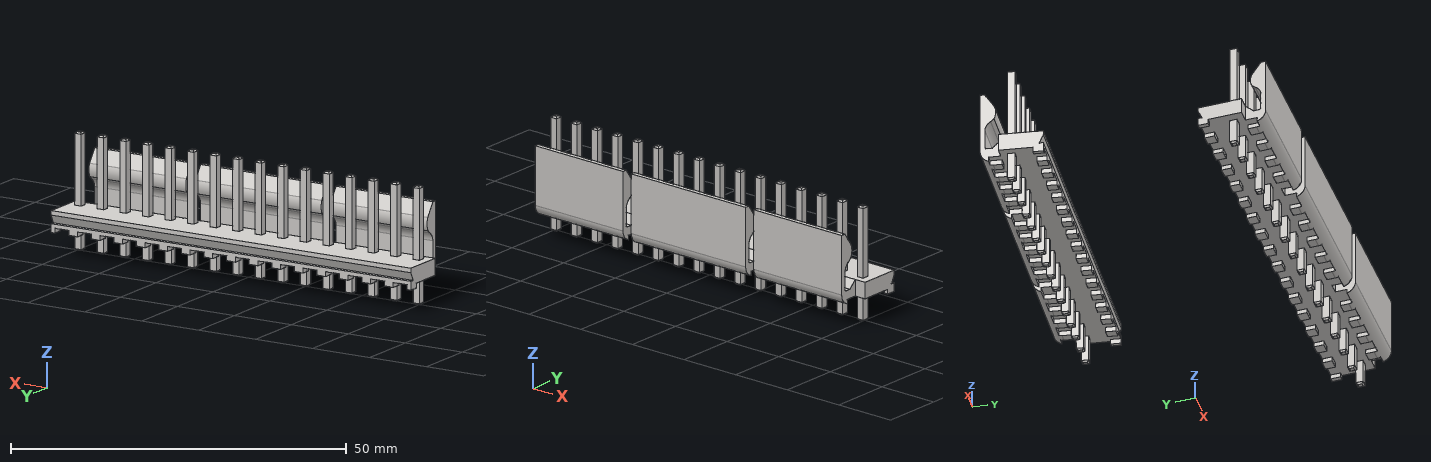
import cadquery as cq
import math


length = 63.2
base_depth = 6.8
base_bottom = 0.75
base_top = 3.4
rear_foot_depth = 1.6

undercut_depth = 0.65
undercut_bottom = 1.4
undercut_top = 2.7

pin_count = 16
end_margin = 1.9
pin_pitch = (length - 2 * end_margin) / (pin_count - 1)
pin_width = 1.15
pin_length = 18.25
pin_bottom = -3.55
pin_back_distance = 5.1
pin_tip = 0.25

notch_width = 2.4
notch_front = 8.65

wall_groups = ((0, 4), (5, 10), (11, 15))
wall_front = 10.0
wall_thickness = 0.75
wall_top = 11.3
bend_radius = 1.85
trough_bottom = 2.2
trough_back = 8.1
trough_radius = 0.3

bead_ramp_end = (7.8, 9.2)
bead_peak = (7.6, 8.15)
bead_lower_end = (7.85, 7.15)
bead_waist = (8.35, 6.7)
bead_hollow = (9.0, 6.05)
bead_bottom = 5.3


def pin_x(index):
    return end_margin + index * pin_pitch


def side_sketch(start_x):
    """YZ workplane at start_x, with its first axis toward the front (-Y) and its normal toward -X."""
    return cq.Workplane(cq.Plane(origin=(start_x, 0, 0), xDir=(0, -1, 0), normal=(-1, 0, 0)))


def make_base():
    profile = (
        side_sketch(0)
        .moveTo(0, base_top)
        .lineTo(base_depth, base_top)
        .lineTo(base_depth, base_bottom)
        .lineTo(rear_foot_depth, base_bottom)
        .lineTo(rear_foot_depth, 0)
        .lineTo(0, 0)
        .lineTo(0, undercut_bottom)
        .lineTo(undercut_depth, undercut_bottom)
        .lineTo(0, undercut_top)
        .close()
    )
    return profile.extrude(-length)


def wall_span(first, last):
    """Outer walls start and stop on the end pins; inner ends stop level with the notch of their pin."""
    start_x = pin_x(first)
    end_x = pin_x(last)
    if first > 0:
        start_x -= notch_width / 2
    if last < pin_count - 1:
        end_x += notch_width / 2
    return start_x, end_x


def make_lock_wall(start_x, end_x):
    """Hooked wall that leaves the front of the base, bends upward and ends in a latch bead."""
    wall_inside = wall_front - wall_thickness
    bend_center = wall_front - bend_radius
    diagonal = bend_radius * math.sqrt(0.5)
    profile = (
        side_sketch(start_x)
        .moveTo(base_depth, 0)
        .lineTo(bend_center, 0)
        .threePointArc((bend_center + diagonal, bend_radius - diagonal), (wall_front, bend_radius))
        .lineTo(wall_front, wall_top)
        .lineTo(wall_inside, wall_top)
        .lineTo(*bead_ramp_end)
        .threePointArc(bead_peak, bead_lower_end)
        .lineTo(*bead_waist)
        .threePointArc(bead_hollow, (wall_inside, bead_bottom))
        .lineTo(wall_inside, trough_bottom + trough_radius)
        .radiusArc((wall_inside - trough_radius, trough_bottom), trough_radius)
        .lineTo(trough_back, trough_bottom)
        .lineTo(base_depth, base_top)
        .close()
    )
    return profile.extrude(start_x - end_x)


def make_pin(index):
    """Square pin with a chamfered tip at both ends."""
    shank = cq.Workplane("XY").box(pin_width, pin_width, pin_length, centered=(True, True, False))
    pin = shank.faces("<Z or >Z").chamfer(pin_tip)
    return pin.translate((pin_x(index), -pin_back_distance, pin_bottom))


def make_foot_notch(index):
    """Space under one pin that interrupts the feet, from the back face to the lock wall bend."""
    notch = cq.Workplane("XY").box(notch_width, notch_front, base_bottom, centered=(True, False, False))
    return notch.translate((pin_x(index), -notch_front, 0))


result = make_base()
for first, last in wall_groups:
    start_x, end_x = wall_span(first, last)
    result = result.union(make_lock_wall(start_x, end_x))
for index in range(pin_count):
    result = result.cut(make_foot_notch(index))
    result = result.union(make_pin(index))